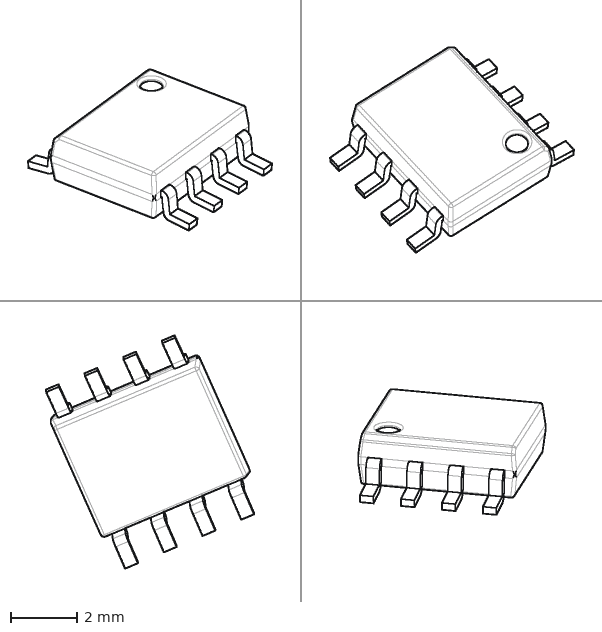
import cadquery as cq
import math

BODY_LENGTH_X = 3.9
BODY_WIDTH_Y = 4.9
BODY_BOTTOM_Z = 0.1
BODY_TOP_Z = 1.75
BAND_HEIGHT = 0.25
DRAFT_ANGLE = 6.5
EDGE_RADIUS = 0.1
BEVEL_DROP = 0.2
BEVEL_INSET = 0.175

BODY_MID_Z = (BODY_BOTTOM_Z + BODY_TOP_Z) / 2
HALF_HEIGHT = (BODY_TOP_Z - BODY_BOTTOM_Z) / 2
BASE_GROWTH = BAND_HEIGHT * math.tan(math.radians(DRAFT_ANGLE))

DIMPLE_X = -1.175
DIMPLE_Y = 1.68
DIMPLE_FLOOR_RADIUS = 0.335
DIMPLE_WALL_ANGLE = 15
DIMPLE_DEPTH = 0.13
DIMPLE_RIM_RADIUS = 0.095

LEADS_PER_SIDE = 4
LEAD_PITCH = 1.27
LEAD_WIDTH = 0.42
LEAD_THICKNESS = 0.24
LEAD_SPAN_X = 6.02
LEAD_TILT = math.radians(6)
HEEL_X = 2.28
LEAD_ROOT_X = BODY_LENGTH_X / 2 - 0.3


def make_draft_half():
    """Tapered half of the body standing on the mid-plane at Z = 0, sharp-edged.

    It is wider than the body at its base, so that it reaches body size at the edge of the band.
    """
    return (
        cq.Workplane("XY")
        .rect(BODY_LENGTH_X + BASE_GROWTH, BODY_WIDTH_Y + BASE_GROWTH)
        .extrude(HALF_HEIGHT, taper=DRAFT_ANGLE)
    )


def round_outer_edges(half):
    """Round every edge except the four around the base."""
    base_edges = cq.selectors.DirectionMinMaxSelector(cq.Vector(0, 0, 1), directionMax=False)
    return half.edges(-base_edges).fillet(EDGE_RADIUS)


def make_body():
    """Two tapered halves meeting at mid-height, trimmed upright to leave the flat parting band."""
    bevelled_half = make_draft_half().faces(">Z").edges("<X").chamfer(BEVEL_DROP, BEVEL_INSET)
    upper = round_outer_edges(bevelled_half)
    lower = round_outer_edges(make_draft_half()).mirror("XY")
    trim = (
        cq.Workplane("XY")
        .box(BODY_LENGTH_X, BODY_WIDTH_Y, 2 * HALF_HEIGHT)
        .edges("|Z and >Y")
        .fillet(EDGE_RADIUS)
    )
    return upper.union(lower).intersect(trim).translate((0, 0, BODY_MID_Z))


def cut_dimple(body):
    """Shallow round recess with a leaning wall and a rounded rim."""
    recess = (
        cq.Workplane("XY", origin=(DIMPLE_X, DIMPLE_Y, BODY_TOP_Z - DIMPLE_DEPTH))
        .circle(DIMPLE_FLOOR_RADIUS)
        .extrude(DIMPLE_DEPTH, taper=-DIMPLE_WALL_ANGLE)
    )
    return body.cut(recess).faces(">Z").edges("%CIRCLE").fillet(DIMPLE_RIM_RADIUS)


def along(point, angle, distance):
    """Point in the XZ plane at a distance from another, angle measured from +X."""
    x, z = point
    return (x + distance * math.cos(angle), z + distance * math.sin(angle))


def make_lead():
    """Right-hand lead, centred on Y = 0, with both bends sharp inside and round outside."""
    upright = math.pi / 2
    toe_top = (LEAD_SPAN_X / 2, LEAD_THICKNESS * math.cos(LEAD_TILT))
    toe_bottom = along(toe_top, -upright - LEAD_TILT, LEAD_THICKNESS)
    heel = (HEEL_X, toe_top[1] + (toe_top[0] - HEEL_X) * math.tan(LEAD_TILT))
    shoulder_z = BODY_MID_Z - LEAD_THICKNESS / 2
    leg_width_x = LEAD_THICKNESS / math.cos(LEAD_TILT)
    leg_rise = shoulder_z - heel[1]
    shoulder = (HEEL_X - leg_width_x - leg_rise * math.tan(LEAD_TILT), shoulder_z)

    def around(corner, angle):
        return along(corner, angle, LEAD_THICKNESS)

    foot_normal = -upright - LEAD_TILT
    leg_normal = LEAD_TILT
    heel_middle = (foot_normal + leg_normal - math.pi) / 2
    shoulder_middle = (upright + leg_normal) / 2
    top_z = shoulder_z + LEAD_THICKNESS
    profile = (
        cq.Workplane("XZ")
        .moveTo(LEAD_ROOT_X, shoulder_z)
        .lineTo(*shoulder)
        .lineTo(*around(heel, leg_normal - math.pi))
        .threePointArc(around(heel, heel_middle), around(heel, foot_normal))
        .lineTo(*toe_bottom)
        .lineTo(*toe_top)
        .lineTo(*heel)
        .lineTo(*around(shoulder, leg_normal))
        .threePointArc(around(shoulder, shoulder_middle), around(shoulder, upright))
        .lineTo(LEAD_ROOT_X, top_z)
        .close()
    )
    return profile.extrude(LEAD_WIDTH / 2, both=True)


def add_leads(body):
    right_lead = make_lead()
    left_lead = right_lead.mirror("YZ")
    for index in range(LEADS_PER_SIDE):
        y = (index - (LEADS_PER_SIDE - 1) / 2) * LEAD_PITCH
        body = body.union(right_lead.translate((0, y, 0)))
        body = body.union(left_lead.translate((0, y, 0)))
    return body


result = add_leads(cut_dimple(make_body()))